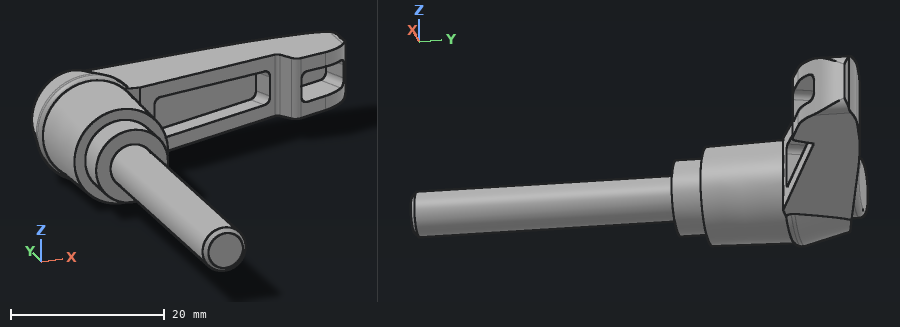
import cadquery as cq
import math


stud_diameter = 6.0
stud_length = 35.0
stud_chamfer = 0.6
collar_diameter = 10.0
collar_height = 4.1

barrel_bottom_radius = 6.5
barrel_top_radius = 6.8
flange_radius = 7.245
flange_bottom_y = 15.07
flange_rounding_height = 0.8
cone_start_y = 16.35
cone_angle = 14.0
cone_height = 9.0

button_diameter = 8.0
button_top_y = 24.5
button_rounding = 0.78

top_slope = 13.0
top_axis_y = 22.82
underside_slope = 20.0
underside_start_x = 6.69
top_straight_end_x = 20.0
back_arc_mid = (27.8, 29.02)
back_arc_end = (35.0, 29.94)
crown_mid = (37.15, 29.97)
crown_end = (39.3, 29.63)
nose_radius = 7.5
nose_center = (32.5, 29.2)
nose_corner_radius = 0.6
step_root_x = 28.75
step_angle = 58.0
root_rounding = 0.5
tooth_rounding = 1.0

half_width_at_axis = 5.25
side_taper = 2.0
tip_corner_radius = 1.6
handle_envelope_y = 35.0

pocket_wall = 2.0
pocket_corner = 1.0
grip_pocket_depth = 2.85
tip_pocket_depth = 4.9
grip_pocket_start_x = 9.0
grip_pocket_end_x = 27.6
tip_pocket_start_x = 31.2
tip_pocket_end_x = 39.1


def tan_deg(angle):
    return math.tan(math.radians(angle))


def top_line_y(x):
    """Height of the straight upper edge at x."""
    return top_axis_y + x * tan_deg(top_slope)


def underside_y(x):
    """Height of the grip underside at x."""
    return flange_bottom_y + (x - underside_start_x) * tan_deg(underside_slope)


def half_width(x):
    """Half thickness of the tapering handle at x."""
    return half_width_at_axis - x * tan_deg(side_taper)


def nose_point(angle):
    """Point on the nose arc, angle measured from +X."""
    turn = math.radians(angle)
    return (nose_center[0] + nose_radius * math.cos(turn), nose_center[1] + nose_radius * math.sin(turn))


nose_start_angle = underside_slope - 90
nose_start = nose_point(nose_start_angle)
nose_mid = nose_point(nose_start_angle / 2)
nose_end = nose_point(0)


def tip_underside_y(x):
    """Height of the underside between the tooth and the nose at x."""
    return nose_start[1] + (x - nose_start[0]) * tan_deg(underside_slope)


def make_stud():
    radius = stud_diameter / 2
    stud = cq.Workplane("XZ").circle(radius).extrude(stud_length).faces("<Y").chamfer(stud_chamfer)
    collar = cq.Workplane("XZ").circle(collar_diameter / 2).extrude(-collar_height)
    return stud.union(collar)


def make_hub():
    cone_top_y = cone_start_y + cone_height
    flange_step = flange_radius - barrel_top_radius
    flange_rounding_radius = (flange_step**2 + flange_rounding_height**2) / (2 * flange_step)
    cone_top_radius = flange_radius - cone_height * tan_deg(cone_angle)
    barrel = (
        cq.Workplane("XY")
        .moveTo(0, collar_height)
        .lineTo(barrel_bottom_radius, collar_height)
        .lineTo(barrel_top_radius, flange_bottom_y)
        .lineTo(0, flange_bottom_y)
        .close()
        .revolve(360, (0, 0, 0), (0, 1, 0))
    )
    head = (
        cq.Workplane("XY")
        .moveTo(0, flange_bottom_y)
        .lineTo(barrel_top_radius, flange_bottom_y)
        .radiusArc((flange_radius, flange_bottom_y + flange_rounding_height), -flange_rounding_radius)
        .lineTo(flange_radius, cone_start_y)
        .lineTo(cone_top_radius, cone_top_y)
        .lineTo(0, cone_top_y)
        .close()
        .revolve(360, (0, 0, 0), (0, 1, 0))
    )
    above_slant = (
        cq.Workplane("XY")
        .moveTo(-flange_radius, top_line_y(-flange_radius))
        .lineTo(flange_radius, top_line_y(flange_radius))
        .lineTo(flange_radius, cone_top_y + cone_height)
        .lineTo(-flange_radius, cone_top_y + cone_height)
        .close()
        .extrude(flange_radius, both=True)
    )
    return barrel.union(head.cut(above_slant))


def make_button():
    return (
        cq.Workplane("XZ", origin=(0, cone_start_y, 0))
        .circle(button_diameter / 2)
        .extrude(cone_start_y - button_top_y)
        .faces(">Y")
        .edges()
        .fillet(button_rounding)
    )


def handle_side_body():
    step_root = (step_root_x, underside_y(step_root_x))
    step_drop = tan_deg(step_angle)
    step_run = (step_root[1] - tip_underside_y(step_root_x)) / (step_drop + tan_deg(underside_slope))
    tooth = (step_root_x + step_run, tip_underside_y(step_root_x + step_run))
    body = (
        cq.Workplane("XY")
        .moveTo(0, flange_bottom_y)
        .lineTo(underside_start_x, flange_bottom_y)
        .lineTo(*step_root)
        .lineTo(*tooth)
        .lineTo(*nose_start)
        .threePointArc(nose_mid, nose_end)
        .radiusArc(crown_end, -nose_corner_radius)
        .threePointArc(crown_mid, back_arc_end)
        .threePointArc(back_arc_mid, (top_straight_end_x, top_line_y(top_straight_end_x)))
        .lineTo(0, top_axis_y)
        .close()
        .extrude(flange_radius, both=True)
    )

    def round_edge(shape, point, radius):
        return shape.edges(cq.selectors.NearestToPointSelector((*point, 0))).fillet(radius)

    body = round_edge(body, step_root, root_rounding)
    return round_edge(body, tooth, tooth_rounding)


def handle_plan_body():
    tip_x = nose_end[0]
    return (
        cq.Workplane("XZ")
        .moveTo(0, half_width(0))
        .lineTo(tip_x, half_width(tip_x))
        .lineTo(tip_x, -half_width(tip_x))
        .lineTo(0, -half_width(0))
        .close()
        .extrude(-handle_envelope_y)
        .edges("|Y and >X")
        .fillet(tip_corner_radius)
    )


def make_pocket(start_x, end_x, surface_y, depth):
    """Tapered pocket between two x positions, square to the sloping underside through surface_y."""
    slope = math.radians(underside_slope)
    length = (end_x - start_x) / math.cos(slope)
    start_half = half_width(start_x) - pocket_wall
    end_half = half_width(end_x) - pocket_wall
    plane = cq.Plane(
        origin=(start_x, surface_y(start_x), 0),
        xDir=(math.cos(slope), math.sin(slope), 0),
        normal=(-math.sin(slope), math.cos(slope), 0),
    )
    return (
        cq.Workplane(plane)
        .moveTo(0, start_half)
        .lineTo(length, end_half)
        .lineTo(length, -end_half)
        .lineTo(0, -start_half)
        .close()
        .extrude(depth)
        .edges(cq.selectors.ParallelDirSelector(plane.zDir))
        .fillet(pocket_corner)
    )


def make_handle():
    handle = handle_side_body().intersect(handle_plan_body())
    grip_pocket = make_pocket(grip_pocket_start_x, grip_pocket_end_x, underside_y, grip_pocket_depth)
    tip_pocket = make_pocket(tip_pocket_start_x, tip_pocket_end_x, tip_underside_y, tip_pocket_depth)
    return handle.cut(grip_pocket).cut(tip_pocket)


result = make_stud().union(make_hub()).union(make_handle()).union(make_button())